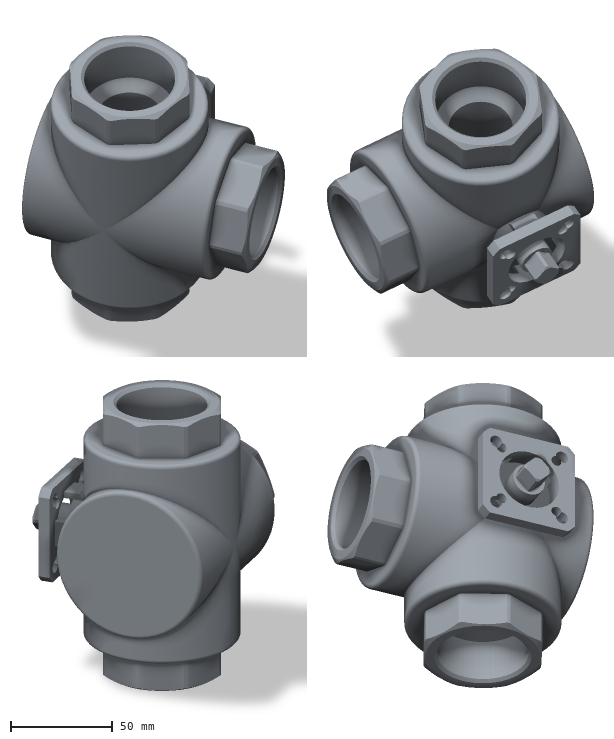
import math

import cadquery as cq


BODY_DIA = 77.5
BODY_REACH = 52.8
BLIND_REACH = 43.0
BODY_EDGE_RADIUS = 2.0

PORT_REACH = 71.1
OCTAGON_SIDES = 8
OCTAGON_FLATS = 58.0
OCTAGON_CORNER_DIA = 62.0
OCTAGON_FACE_DIA = 56.5
OCTAGON_CHAMFER_ANGLE = 30.0

FLOW_DIA = 31.8
THREAD_DIA = 44.84
THREAD_DEPTH = 23.2
THREAD_CHAMFER = 1.5
DRILL_POINT_ANGLE = 118.0

PLATE_BOTTOM = 49.6
PLATE_THICKNESS = 6.0
PLATE_TOP = PLATE_BOTTOM + PLATE_THICKNESS
PLATE_SIDE = 49.6
PLATE_CORNER_DIA = 65.0
COLLAR_DIA = 32.0
COLLAR_TOP = 44.6
LEG_SPAN = 36.0
LEG_WIDTH = 13.0
LEG_CHAMFER_START = 41.7
NECK_DIA = 17.0
HOLE_COUNT = 4
HOLE_START_ANGLE = 45.0
MOUNT_HOLES = ((42.0, 5.5), (50.0, 6.5))

STEM_TOP = 66.5
STEM_SQUARE = 11.0
STEM_CORNER_DIA = 14.0
STEM_CHAMFER = 0.9

PORT_ANGLES = (0.0, 90.0, 180.0)


def turn_about_y(shape, angle):
    return shape.rotate((0, 0, 0), (0, 1, 0), angle)


def disc_along_y(diameter, start, end):
    """Cylinder on the Y axis between two distances from the port axes."""
    return cq.Workplane("XZ", origin=(0, start, 0)).circle(diameter / 2).extrude(start - end)


def block_along_y(size_x, size_z, start, end):
    """Rectangular block centred on the Y axis between two distances from the port axes."""
    return cq.Workplane("XZ", origin=(0, start, 0)).rect(size_x, size_z).extrude(start - end)


def make_body():
    upright = cq.Workplane("XY", origin=(0, 0, -BODY_REACH)).circle(BODY_DIA / 2).extrude(2 * BODY_REACH)
    across = cq.Workplane("YZ", origin=(-BLIND_REACH, 0, 0)).circle(BODY_DIA / 2)
    across = across.extrude(BLIND_REACH + BODY_REACH)
    upright = upright.edges("%CIRCLE").fillet(BODY_EDGE_RADIUS)
    across = across.edges("%CIRCLE").fillet(BODY_EDGE_RADIUS)
    return upright.union(across)


def make_port_end():
    """Octagon with its corners on the axes, trimmed by a turned profile with a chamfered end."""
    circumscribed_dia = OCTAGON_FLATS / math.cos(math.pi / OCTAGON_SIDES)
    octagon = cq.Workplane("XY").polygon(OCTAGON_SIDES, circumscribed_dia).extrude(PORT_REACH)

    corner_radius = OCTAGON_CORNER_DIA / 2
    face_radius = OCTAGON_FACE_DIA / 2
    chamfer_drop = (corner_radius - face_radius) * math.tan(math.radians(OCTAGON_CHAMFER_ANGLE))
    turned = (
        cq.Workplane("XZ")
        .lineTo(corner_radius, 0)
        .lineTo(corner_radius, PORT_REACH - chamfer_drop)
        .lineTo(face_radius, PORT_REACH)
        .lineTo(0, PORT_REACH)
        .close()
        .revolve(360, (0, 0, 0), (0, 1, 0))
    )
    return octagon.intersect(turned)


def make_port_bore():
    """Flow passage from the centre, opening through a drill-point cone into the thread bore."""
    flow_radius = FLOW_DIA / 2
    thread_radius = THREAD_DIA / 2
    thread_bottom = PORT_REACH - THREAD_DEPTH
    cone_length = (thread_radius - flow_radius) / math.tan(math.radians(DRILL_POINT_ANGLE / 2))
    return (
        cq.Workplane("XZ")
        .lineTo(flow_radius, 0)
        .lineTo(flow_radius, thread_bottom - cone_length)
        .lineTo(thread_radius, thread_bottom)
        .lineTo(thread_radius, PORT_REACH - THREAD_CHAMFER)
        .lineTo(thread_radius + THREAD_CHAMFER, PORT_REACH)
        .lineTo(0, PORT_REACH)
        .close()
        .revolve(360, (0, 0, 0), (0, 1, 0))
    )


def make_legs():
    """Four legs under the plate, opposite ones joined into one bar with chamfered lower ends."""
    half_span = LEG_SPAN / 2
    foot = LEG_CHAMFER_START - half_span
    bar = (
        cq.Workplane("XY", origin=(0, 0, -LEG_WIDTH / 2))
        .moveTo(0, foot)
        .lineTo(half_span, LEG_CHAMFER_START)
        .lineTo(half_span, PLATE_BOTTOM)
        .lineTo(-half_span, PLATE_BOTTOM)
        .lineTo(-half_span, LEG_CHAMFER_START)
        .close()
        .extrude(LEG_WIDTH)
    )
    legs = bar.union(turn_about_y(bar, 90))
    window = disc_along_y(COLLAR_DIA, COLLAR_TOP, PLATE_BOTTOM)
    return legs.cut(window)


def make_plate():
    """Square plate with rounded corners, overlapping corner holes and a clear opening around the neck."""
    plate = block_along_y(PLATE_SIDE, PLATE_SIDE, PLATE_BOTTOM, PLATE_TOP)
    plate = plate.intersect(disc_along_y(PLATE_CORNER_DIA, PLATE_BOTTOM, PLATE_TOP))
    plate = plate.cut(disc_along_y(COLLAR_DIA, PLATE_BOTTOM, PLATE_TOP))
    for bolt_circle, hole_dia in MOUNT_HOLES:
        holes = (
            cq.Workplane("XZ", origin=(0, PLATE_BOTTOM, 0))
            .polarArray(bolt_circle / 2, HOLE_START_ANGLE, 360, HOLE_COUNT)
            .circle(hole_dia / 2)
            .extrude(-PLATE_THICKNESS)
        )
        plate = plate.cut(holes)
    return plate


def make_stem():
    """Square drive with rounded corners, turned so that its corners point along X and Z."""
    square = turn_about_y(block_along_y(STEM_SQUARE, STEM_SQUARE, PLATE_TOP, STEM_TOP), 45)
    rounding = disc_along_y(STEM_CORNER_DIA, PLATE_TOP, STEM_TOP).faces(">Y").chamfer(STEM_CHAMFER)
    return square.intersect(rounding)


def make_valve():
    valve = make_body()
    for angle in PORT_ANGLES:
        valve = valve.union(turn_about_y(make_port_end(), angle))
    collar = disc_along_y(COLLAR_DIA, 0, COLLAR_TOP)
    neck = disc_along_y(NECK_DIA, 0, PLATE_TOP)
    for mount_part in (collar, make_legs(), neck, make_plate(), make_stem()):
        valve = valve.union(mount_part)
    for angle in PORT_ANGLES:
        valve = valve.cut(turn_about_y(make_port_bore(), angle))
    return valve


result = make_valve()